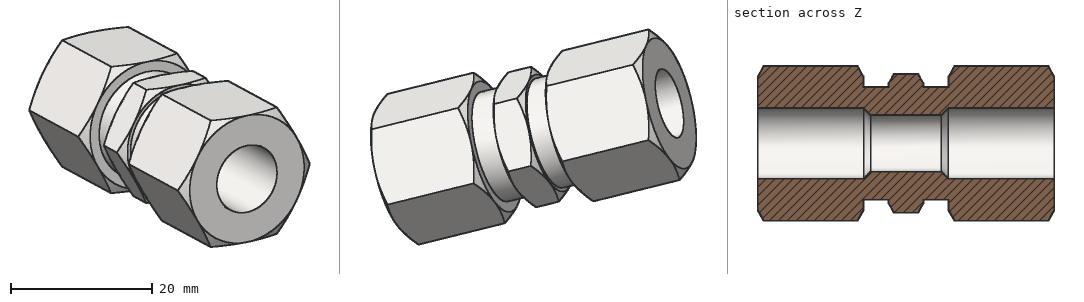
import cadquery as cq
import math

total_length = 42.0
nut_length = 15.0
nut_across_flats = 19.0
centre_hex_length = 5.0
centre_hex_across_flats = 17.0
body_diameter = 16.0
socket_diameter = 10.0
bore_diameter = 8.0
socket_depth = 15.0
chamfer_angle = 30.0
seat_half_angle = 45.0


def chamfered_hex(start_x, length, across_flats):
    """Hexagonal prism along X with corners on +/-Y, both ends turned conically."""
    corner_diameter = across_flats / math.cos(math.radians(30))
    corner_radius = corner_diameter / 2
    face_radius = across_flats / 2
    chamfer_length = (corner_radius - face_radius) * math.tan(math.radians(chamfer_angle))
    prism = (
        cq.Workplane("YZ", origin=(start_x, 0, 0))
        .polygon(6, corner_diameter)
        .extrude(length)
    )
    end_x = start_x + length
    turned_envelope = (
        cq.Workplane("XY")
        .polyline([
            (start_x, 0),
            (start_x, face_radius),
            (start_x + chamfer_length, corner_radius),
            (end_x - chamfer_length, corner_radius),
            (end_x, face_radius),
            (end_x, 0),
        ])
        .close()
        .revolve(360, (0, 0, 0), (1, 0, 0))
    )
    return prism.intersect(turned_envelope)


def stepped_bore():
    """Tube socket at each end, narrowing through a conical seat to the bore."""
    end_x = total_length / 2
    socket_x = end_x - socket_depth
    socket_radius = socket_diameter / 2
    bore_radius = bore_diameter / 2
    seat_length = (socket_radius - bore_radius) / math.tan(math.radians(seat_half_angle))
    seat_x = socket_x - seat_length
    return (
        cq.Workplane("XY")
        .polyline([
            (-end_x, 0),
            (-end_x, socket_radius),
            (-socket_x, socket_radius),
            (-seat_x, bore_radius),
            (seat_x, bore_radius),
            (socket_x, socket_radius),
            (end_x, socket_radius),
            (end_x, 0),
        ])
        .close()
        .revolve(360, (0, 0, 0), (1, 0, 0))
    )


body_length = total_length - 2 * nut_length
body = (
    cq.Workplane("YZ", origin=(-body_length / 2, 0, 0))
    .circle(body_diameter / 2)
    .extrude(body_length)
)
centre_hex = chamfered_hex(-centre_hex_length / 2, centre_hex_length, centre_hex_across_flats)
left_nut = chamfered_hex(-total_length / 2, nut_length, nut_across_flats)
right_nut = chamfered_hex(total_length / 2 - nut_length, nut_length, nut_across_flats)

result = body.union(centre_hex).union(left_nut).union(right_nut).cut(stepped_bore())